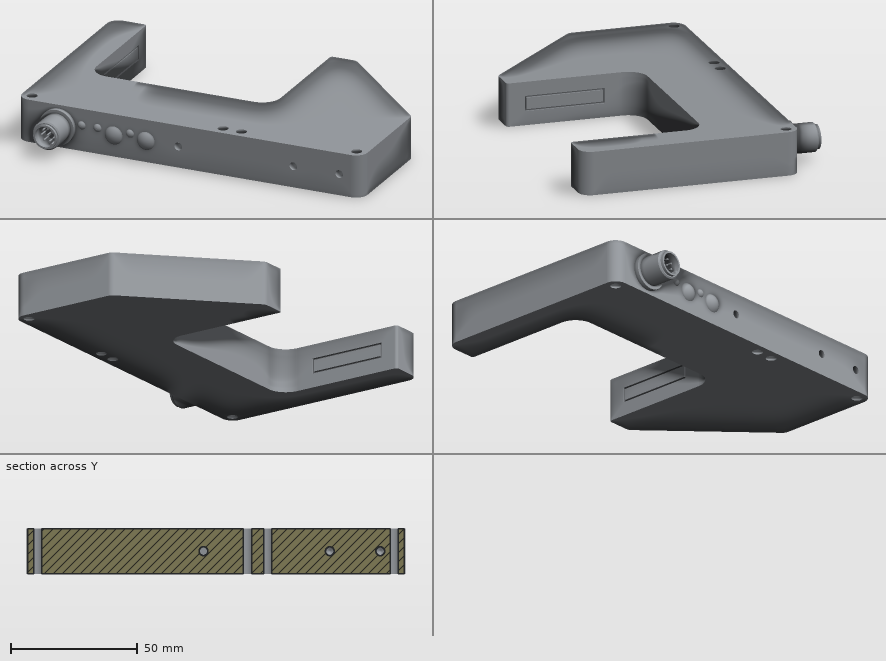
import cadquery as cq
import math

LENGTH = 150.0
TOTAL_DEPTH = 104.0
THICKNESS = 18.0
CONNECTOR_REACH = 13.0
BODY_DEPTH = TOTAL_DEPTH - CONNECTOR_REACH
CORNER_RADIUS = 5.0
BEVEL = 44.0
BEVEL_RADIUS = 3.0

SLOT_LEFT = 15.0
SLOT_WIDTH = 80.0
SLOT_RIGHT = SLOT_LEFT + SLOT_WIDTH
SLOT_BOTTOM = 35.0
SLOT_RADIUS = 8.0
SLOT_TIP_RADIUS = 1.2

MOUNT_HOLE_DIAMETER = 4.4
MOUNT_HOLE_INSET = 4.5
MOUNT_HOLE_XS = (MOUNT_HOLE_INSET, 87.5, 95.4, LENGTH - MOUNT_HOLE_INSET)

FRONT_HOLE_DIAMETER = 3.3
FRONT_HOLE_DEPTH = 6.0
FLAT_HOLE_X = 70.0
DRILLED_HOLE_XS = (120.0, 140.0)
DRILL_TIP_ANGLE = 118.0

LAMP_DIAMETER = 3.5
LAMP_HEIGHT = 1.0
LAMP_TIP_DIAMETER = 0.7
LAMP_Z = 2.0
LAMP_XS = (28.0, 35.0, 49.0)
BUTTON_DIAMETER = 7.6
BUTTON_HEIGHT = 2.0
BUTTON_XS = (42.0, 56.0)

CONNECTOR_X = 18.0
FLANGE_DIAMETER = 15.0
FLANGE_LENGTH = 2.0
BARREL_DIAMETER = 12.0
NOSE_DIAMETER = 10.0
NOSE_LENGTH = 1.2
BARREL_CHAMFER = 0.52
BORE_DIAMETER = 8.5
BORE_DEPTH = 9.0
PIN_DIAMETER = 0.7
PIN_LENGTH = 6.8
PIN_CIRCLE_RADIUS = 2.7
RING_PIN_COUNT = 7
KEY_ANGLE = -45.0
KEY_DIAMETER = 1.6

WINDOW_LENGTH = 33.3
WINDOW_HEIGHT = 6.3
WINDOW_CENTER_Y = 66.8
GROOVE_WIDTH = 0.8
GROOVE_DEPTH = 1.0


def front_cylinder(x, z, diameter, y_start, y_end):
    """Cylinder along Y, from y_start to y_end."""
    disc = cq.Workplane("XZ", origin=(x, y_start, z)).circle(diameter / 2)
    return disc.extrude(y_start - y_end)


def round_vertical_edges(plate, points, radius):
    """Round the vertical edges of the plate that pass through the given points."""

    def is_picked(edge):
        center = edge.Center()
        return any(math.dist((center.x, center.y), point) < radius / 2 for point in points)

    return plate.edges("|Z").filter(is_picked).fillet(radius)


def fork_body():
    """U-shaped plate with one beveled arm and rounded corners."""
    left_tip = (SLOT_LEFT, BODY_DEPTH)
    right_tip = (SLOT_RIGHT, BODY_DEPTH)
    bevel_top = (LENGTH - BEVEL, BODY_DEPTH)
    bevel_side = (LENGTH, BODY_DEPTH - BEVEL)
    slot_corners = [(SLOT_LEFT, SLOT_BOTTOM), (SLOT_RIGHT, SLOT_BOTTOM)]
    outer_corners = [(0, 0), (LENGTH, 0), (0, BODY_DEPTH)]
    outline = [
        outer_corners[0], outer_corners[1], bevel_side, bevel_top, right_tip,
        slot_corners[1], slot_corners[0], left_tip, outer_corners[2],
    ]
    plate = cq.Workplane("XY").polyline(outline).close().extrude(THICKNESS / 2, both=True)
    plate = round_vertical_edges(plate, outer_corners, CORNER_RADIUS)
    plate = round_vertical_edges(plate, slot_corners, SLOT_RADIUS)
    plate = round_vertical_edges(plate, [bevel_top, bevel_side], BEVEL_RADIUS)
    return round_vertical_edges(plate, [left_tip, right_tip], SLOT_TIP_RADIUS)


def mounting_holes():
    """Cutting cylinders for the row of through holes along the front edge."""
    centers = [(x, MOUNT_HOLE_INSET) for x in MOUNT_HOLE_XS]
    holes = cq.Workplane("XY").pushPoints(centers).circle(MOUNT_HOLE_DIAMETER / 2)
    return holes.extrude(THICKNESS, both=True)


def drilled_hole(x):
    """Blind hole in the front face with a conical drill tip."""
    radius = FRONT_HOLE_DIAMETER / 2
    tip_length = radius / math.tan(math.radians(DRILL_TIP_ANGLE / 2))
    profile = cq.Workplane("XY", origin=(x, 0, 0)).polyline([
        (0, 0), (radius, 0), (radius, FRONT_HOLE_DEPTH), (0, FRONT_HOLE_DEPTH + tip_length),
    ])
    return profile.close().revolve(360, (0, 0), (0, 1))


def dome(x, z, diameter, height, tip_diameter=0.0):
    """Round cap standing on the front face, with an optional flat tip."""
    base_radius = diameter / 2
    tip_radius = tip_diameter / 2
    center_y = (base_radius**2 - tip_radius**2 - height**2) / (2 * height)
    sphere_radius = math.hypot(base_radius, center_y)
    middle_angle = (math.acos(center_y / sphere_radius) + math.asin(tip_radius / sphere_radius)) / 2
    arc_middle = (
        sphere_radius * math.sin(middle_angle),
        center_y - sphere_radius * math.cos(middle_angle),
    )
    profile = cq.Workplane("XY", origin=(x, 0, z)).lineTo(base_radius, 0)
    profile = profile.threePointArc(arc_middle, (tip_radius, -height))
    if tip_radius > 0:
        profile = profile.lineTo(0, -height)
    return profile.close().revolve(360, (0, 0), (0, 1))


def connector():
    """Flanged barrel with a keyed bore that holds the contact pins."""
    end_y = -CONNECTOR_REACH
    shoulder_y = end_y + NOSE_LENGTH
    floor_y = end_y + BORE_DEPTH
    pin_y = floor_y - PIN_LENGTH

    barrel = front_cylinder(CONNECTOR_X, 0, BARREL_DIAMETER, 0, shoulder_y)
    barrel = barrel.faces("<Y").chamfer(BARREL_CHAMFER)
    nose = front_cylinder(CONNECTOR_X, 0, NOSE_DIAMETER, 0, end_y)
    flange = front_cylinder(CONNECTOR_X, 0, FLANGE_DIAMETER, 0, -FLANGE_LENGTH)
    bore = front_cylinder(CONNECTOR_X, 0, BORE_DIAMETER, floor_y, end_y)
    shell = barrel.union(nose).union(flange)

    key_angle = math.radians(KEY_ANGLE)
    key_x = CONNECTOR_X + BORE_DIAMETER / 2 * math.cos(key_angle)
    key_z = BORE_DIAMETER / 2 * math.sin(key_angle)
    key = front_cylinder(key_x, key_z, KEY_DIAMETER, floor_y, end_y)
    plug = shell.cut(bore.cut(key))

    plug = plug.union(front_cylinder(CONNECTOR_X, 0, PIN_DIAMETER, floor_y, pin_y))
    for index in range(RING_PIN_COUNT):
        angle = key_angle + 2 * math.pi * (index + 0.5) / RING_PIN_COUNT
        pin_x = CONNECTOR_X + PIN_CIRCLE_RADIUS * math.cos(angle)
        pin_z = PIN_CIRCLE_RADIUS * math.sin(angle)
        plug = plug.union(front_cylinder(pin_x, pin_z, PIN_DIAMETER, floor_y, pin_y))
    return plug


def window_groove(wall_x):
    """Rectangular ring that cuts GROOVE_DEPTH into the slot wall at wall_x."""
    inner_length = WINDOW_LENGTH - 2 * GROOVE_WIDTH
    inner_height = WINDOW_HEIGHT - 2 * GROOVE_WIDTH
    plane = cq.Workplane("YZ", origin=(wall_x, WINDOW_CENTER_Y, 0))
    ring = plane.rect(WINDOW_LENGTH, WINDOW_HEIGHT).rect(inner_length, inner_height)
    return ring.extrude(GROOVE_DEPTH, both=True)


result = fork_body().cut(mounting_holes())
result = result.cut(front_cylinder(FLAT_HOLE_X, 0, FRONT_HOLE_DIAMETER, FRONT_HOLE_DEPTH, 0))
for hole_x in DRILLED_HOLE_XS:
    result = result.cut(drilled_hole(hole_x))
for wall_x in (SLOT_LEFT, SLOT_RIGHT):
    result = result.cut(window_groove(wall_x))
for lamp_x in LAMP_XS:
    result = result.union(dome(lamp_x, LAMP_Z, LAMP_DIAMETER, LAMP_HEIGHT, LAMP_TIP_DIAMETER))
for button_x in BUTTON_XS:
    result = result.union(dome(button_x, 0, BUTTON_DIAMETER, BUTTON_HEIGHT))
result = result.union(connector())